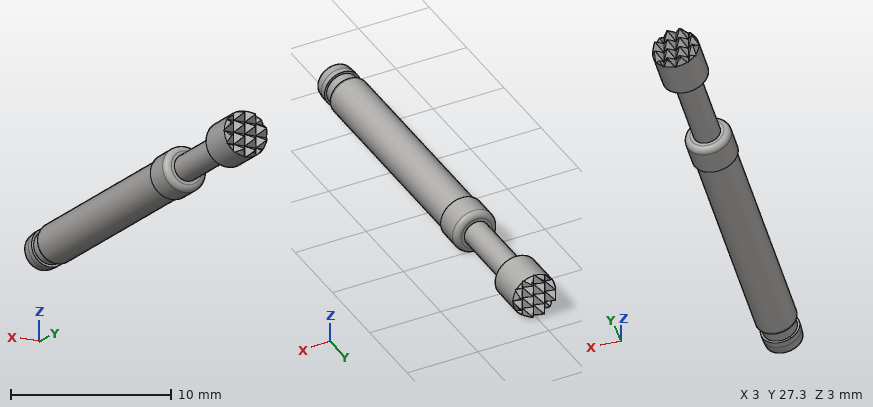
import cadquery as cq
import math


overall_length = 27.3
head_length = 3.0
collar_length = 2.0
barrel_length = 17.0
neck_start = 1.0
neck_length = 0.75
rim_straight_length = 0.4

head_diameter = 3.0
plunger_diameter = 1.75
collar_diameter = 3.0
barrel_diameter = 2.7
neck_diameter = 2.25
rim_diameter = 2.56
tail_end_diameter = 2.45

collar_round = 0.4
barrel_round = (barrel_diameter - neck_diameter) / 2

tooth_pitch = 0.79
tooth_angle = 60.0
crown_taper_angle = 20.0
crown_taper_length = 0.6
grooves_each_way = 5

head_start = overall_length - head_length
collar_end = barrel_length + collar_length
barrel_start = neck_start + neck_length
rim_straight_start = neck_start - rim_straight_length
crown_taper_start = overall_length - crown_taper_length
crown_tip_radius = head_diameter / 2 - crown_taper_length * math.tan(math.radians(crown_taper_angle))


def turned_blank():
    """Revolve the half outline (radius along X, length along Y) about the Y axis."""
    head_radius = head_diameter / 2
    plunger_radius = plunger_diameter / 2
    collar_radius = collar_diameter / 2
    barrel_radius = barrel_diameter / 2
    neck_radius = neck_diameter / 2
    rim_radius = rim_diameter / 2
    tail_end_radius = tail_end_diameter / 2
    tail_bulge_height = rim_radius - tail_end_radius
    tail_bulge_radius = (rim_straight_start**2 + tail_bulge_height**2) / (2 * tail_bulge_height)
    return (
        cq.Workplane("XY")
        .lineTo(tail_end_radius, 0)
        .radiusArc((rim_radius, rim_straight_start), -tail_bulge_radius)
        .lineTo(rim_radius, neck_start)
        .lineTo(neck_radius, neck_start)
        .lineTo(neck_radius, barrel_start)
        .radiusArc((barrel_radius, barrel_start + barrel_round), -barrel_round)
        .lineTo(barrel_radius, barrel_length)
        .lineTo(collar_radius, barrel_length)
        .lineTo(collar_radius, collar_end - collar_round)
        .radiusArc((collar_radius - collar_round, collar_end), -collar_round)
        .lineTo(plunger_radius, collar_end)
        .lineTo(plunger_radius, head_start)
        .lineTo(head_radius, head_start)
        .lineTo(head_radius, crown_taper_start)
        .lineTo(crown_tip_radius, overall_length)
        .lineTo(0, overall_length)
        .close()
        .revolve(360, (0, 0, 0), (0, 1, 0))
    )


def tooth_grooves():
    """Return V grooves spaced along X, each running along Z through the head."""
    half_width = tooth_pitch / 2
    depth = half_width / math.tan(math.radians(tooth_angle / 2))
    first = -(grooves_each_way - 1) / 2 * tooth_pitch
    groove = (
        cq.Workplane("XY")
        .moveTo(-half_width, overall_length)
        .lineTo(0, overall_length - depth)
        .lineTo(half_width, overall_length)
        .close()
        .extrude(head_diameter, both=True)
    )
    return [groove.translate((first + i * tooth_pitch, 0, 0)) for i in range(grooves_each_way)]


def cut_crown(blank):
    """Cut the grooves along Z, then along X, leaving a grid of pyramid teeth."""
    for groove in tooth_grooves():
        blank = blank.cut(groove)
        blank = blank.cut(groove.rotate((0, 0, 0), (0, 1, 0), 90))
    return blank


result = cut_crown(turned_blank())